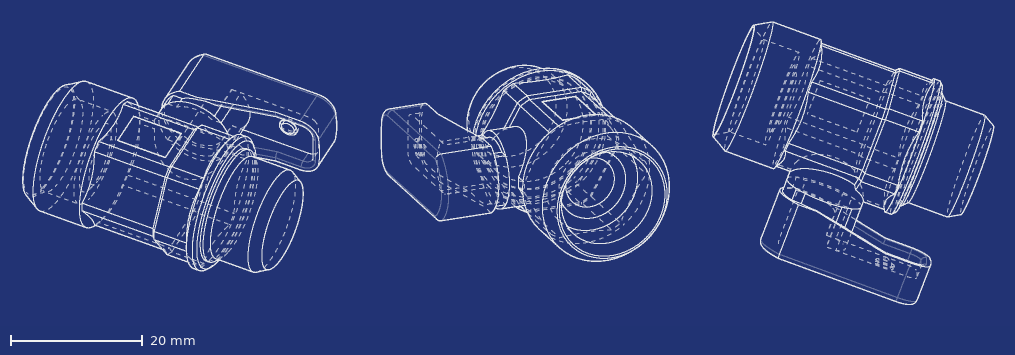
import cadquery as cq
import math

total_length = 39.5
chamfer_slope = math.tan(math.radians(30))
shoulder_slope = math.tan(math.radians(60))

socket_radius = 10.45
socket_end = 10.27
socket_chamfer_length = 2.45

bore_radius = 7.45
bore_depth = 7.85
bore_mouth_radius = 8.7
seat_mouth_radius = 5.5
seat_floor_radius = 4.0
seat_depth = 0.85

slim_flat_distance = 9.1
slim_corner_radius = 10.05
wide_flat_distance = 9.55
wide_corner_radius = 10.55
step_start = 22.48
step_end = step_start + wide_flat_distance - slim_flat_distance

flange_radius = 21.6 / 2
flange_start = 28.5
flange_end = 30.02
flange_chamfer = 0.5

collar_radius = 9.1
collar_end = 30.5
spigot_radius = 8.25
spigot_chamfer_length = 1.8

neck_x = 19.0
neck_radius = 6.05
neck_top = 11.5

panel_start = 13.0
panel_length = 8.05
panel_width = 5.53
panel_depth = 0.08

handle_top = 33.3 - flange_radius
handle_end = 38.05
handle_half_width = 5.5
handle_nose_radius = 6.48
handle_corner_radius = 3.15
handle_edge_radius = 0.83
deep_bottom = 13.43
shallow_bottom = 15.9
slope_start = 18.5
slope_end = 30.57

handle_wall = 1.42
lip_radius = 0.67
roof_thickness = 4.1
cavity_floor = handle_top - roof_thickness

hub_radius = 5.0
lug_half_width = 4.03

pin_x = 31.5
pin_radius = 1.05
pin_point_length = 0.7
pin_projection = 0.15
recess_radius = 1.5
recess_depth = 0.47


def hex_points(flat_distance):
    """Corners of a hexagon with two flats facing up and down, in the YZ plane."""
    corner = flat_distance / math.cos(math.radians(30))
    angles = [math.radians(60 * i) for i in range(6)]
    return [(corner * math.cos(a), corner * math.sin(a)) for a in angles]


def turned(points):
    """Solid turned about the X axis from (x, radius) points."""
    first_x = points[0][0]
    last_x = points[-1][0]
    outline = [(first_x, 0), *points, (last_x, 0)]
    return cq.Workplane("XY").polyline(outline).close().revolve(360, (0, 0, 0), (1, 0, 0))


def hex_prism(start, end, flat_distance):
    """Straight hexagonal bar along X."""
    plane = cq.Workplane("YZ", origin=(start, 0, 0))
    return plane.polyline(hex_points(flat_distance)).close().extrude(end - start)


def hex_middle():
    """Slim and wide hexagons joined by a bevelled step, with their corners turned round."""
    slim = hex_prism(socket_end, step_start, slim_flat_distance)
    wide = hex_prism(step_end, flange_start, wide_flat_distance)
    step = (
        cq.Workplane("YZ", origin=(step_start, 0, 0))
        .polyline(hex_points(slim_flat_distance)).close()
        .workplane(offset=step_end - step_start)
        .polyline(hex_points(wide_flat_distance)).close()
        .loft(ruled=True)
    )
    corner_limit = turned([
        (socket_end, slim_corner_radius),
        (step_start, slim_corner_radius),
        (step_end, wide_corner_radius),
        (flange_start, wide_corner_radius),
    ])
    return slim.union(step).union(wide).intersect(corner_limit)


def socket_end_shape():
    """Round end with a cone that runs down onto the slim flats."""
    shoulder_length = (socket_radius - slim_flat_distance) / shoulder_slope
    return turned([
        (0, socket_radius - socket_chamfer_length * chamfer_slope),
        (socket_chamfer_length, socket_radius),
        (socket_end, socket_radius),
        (socket_end + shoulder_length, slim_flat_distance),
    ])


def spigot_end_shape():
    """Flange, collar and spigot, with a cone from the wide flats up to the flange."""
    shoulder_length = (flange_radius - wide_flat_distance) / shoulder_slope
    spigot_start = collar_end + collar_radius - spigot_radius
    return turned([
        (flange_start - shoulder_length, wide_flat_distance),
        (flange_start, flange_radius),
        (flange_end - flange_chamfer, flange_radius),
        (flange_end, flange_radius - flange_chamfer),
        (flange_end, collar_radius),
        (collar_end, collar_radius),
        (spigot_start, spigot_radius),
        (total_length - spigot_chamfer_length, spigot_radius),
        (total_length, spigot_radius - spigot_chamfer_length * chamfer_slope),
    ])


def socket_bore():
    """Blind bore with a flared mouth and a conical seat at its bottom."""
    mouth_length = (bore_mouth_radius - bore_radius) / chamfer_slope
    return turned([
        (0, bore_mouth_radius),
        (mouth_length, bore_radius),
        (bore_depth, bore_radius),
        (bore_depth, seat_mouth_radius),
        (bore_depth + seat_depth, seat_floor_radius),
    ])


def round_post(x, radius, bottom, top):
    """Cylinder along Y between two heights."""
    plane = cq.Workplane("XZ", origin=(x, bottom, 0))
    return plane.circle(radius).extrude(bottom - top)


def label_panel():
    """Shallow rectangular recess in the upper slim flat."""
    plane = cq.Workplane("XY", origin=(panel_start, 0, slim_flat_distance - panel_depth))
    return plane.box(panel_length, panel_width, panel_depth, centered=(False, True, False))


def make_housing():
    """One-piece valve housing with a round neck for the handle."""
    neck = round_post(neck_x, neck_radius, 0, neck_top)
    body = hex_middle().union(socket_end_shape()).union(spigot_end_shape()).union(neck)
    return body.cut(socket_bore()).cut(label_panel())


def handle_block():
    """Solid handle: round nose about the neck axis, rounded end and upper edge."""
    nose_edge = neck_x - math.sqrt(handle_nose_radius**2 - handle_half_width**2)
    end_radius = handle_end - neck_x
    end_edge = neck_x + math.sqrt(end_radius**2 - handle_half_width**2)
    plan = (
        cq.Workplane("XZ", origin=(0, deep_bottom, 0))
        .moveTo(nose_edge, handle_half_width)
        .threePointArc((neck_x - handle_nose_radius, 0), (nose_edge, -handle_half_width))
        .lineTo(end_edge, -handle_half_width)
        .threePointArc((handle_end, 0), (end_edge, handle_half_width))
        .close()
        .extrude(deep_bottom - handle_top)
    )
    end_corners = cq.selectors.BoxSelector(
        (slope_end, deep_bottom, -2 * handle_half_width),
        (total_length, handle_top, 2 * handle_half_width),
    )
    plan = plan.edges("|Y").edges(end_corners).fillet(handle_corner_radius)
    return plan.faces(">Y").edges().fillet(handle_edge_radius)


def handle_relief():
    """Material removed below the sloping and shallow parts of the underside."""
    outline = [
        (slope_start, deep_bottom),
        (slope_end, shallow_bottom),
        (total_length, shallow_bottom),
        (total_length, deep_bottom),
    ]
    return cq.Workplane("XY").polyline(outline).close().extrude(handle_half_width, both=True)


def handle_cavity():
    """Hollow from the neck axis to the handle's end wall."""
    cavity = cq.Workplane("XY", origin=(neck_x, deep_bottom, 0)).box(
        handle_end - handle_wall - neck_x,
        cavity_floor - deep_bottom,
        2 * (handle_half_width - handle_wall),
        centered=(False, False, True),
    )
    return cavity.edges("|Y and >X").fillet(handle_corner_radius - handle_wall)


def stop_lugs():
    """Two lugs on opposite sides of the hub, with flat flanks."""
    disc = round_post(neck_x, neck_radius, neck_top, cavity_floor)
    band = cq.Workplane("XY").box(2 * total_length, 2 * total_length, 2 * lug_half_width)
    return disc.intersect(band)


def make_handle():
    """Hollow handle whose cavity has a rounded lower rim, with the hub, lugs and pin recess."""
    shell = handle_block().cut(handle_relief()).cut(handle_cavity())
    cavity_half_width = handle_half_width - handle_wall
    margin = lip_radius / 2
    cavity_rim = cq.selectors.BoxSelector(
        (neck_x + margin, deep_bottom, -cavity_half_width - margin),
        (handle_end - handle_wall + margin, shallow_bottom + margin, cavity_half_width + margin),
    )
    shell = shell.edges(cavity_rim).fillet(lip_radius)
    hub = round_post(neck_x, hub_radius, neck_top, cavity_floor)
    recess = round_post(pin_x, recess_radius, cavity_floor, cavity_floor + recess_depth)
    return shell.union(hub).union(stop_lugs()).cut(recess)


def make_pin():
    """Pin standing on the recess floor, with its conical point facing -Y."""
    base = cavity_floor + recess_depth
    shoulder = cavity_floor - pin_projection
    profile = [
        (pin_x, base),
        (pin_x + pin_radius, base),
        (pin_x + pin_radius, shoulder),
        (pin_x, shoulder - pin_point_length),
    ]
    return cq.Workplane("XY").polyline(profile).close().revolve(360, (pin_x, 0, 0), (pin_x, 1, 0))


housing = make_housing()
handle = make_handle()
pin = make_pin()
result = cq.Compound.makeCompound([housing.solids().val(), handle.solids().val(), pin.val()])